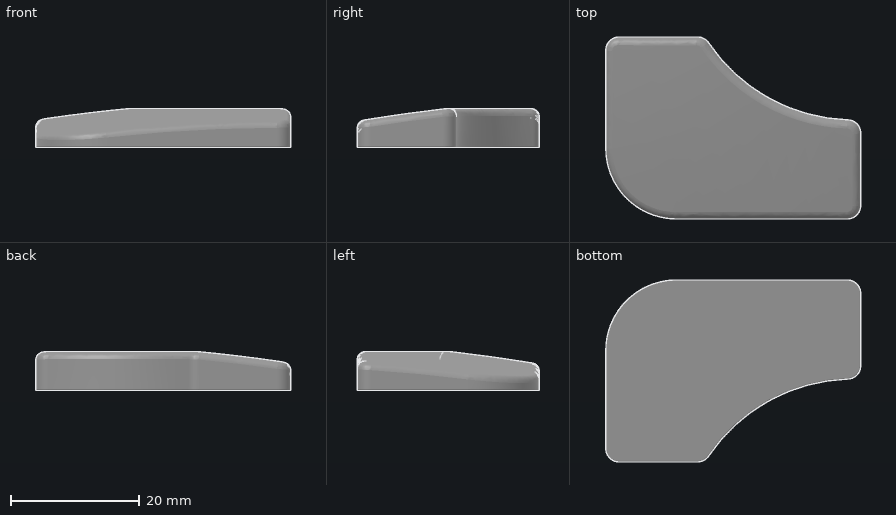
import cadquery as cq
import math

length = 39.8
depth = 28.4
large_corner_radius = 11.05
small_corner_radius = 4.25 / 2

cutout_radius = 27.15
cutout_axis_x = 38.6
cutout_axis_y = 42.63

height = 6.13
dome_radius = 254.72
top_edge_radius = 1.27
bottom_edge_radius = 0.2


def make_outline_block(block_height):
    """Straight-sided block with one large corner, a concave side and small corners."""
    top_cut_x = cutout_axis_x - math.sqrt(cutout_radius**2 - (cutout_axis_y - depth) ** 2)
    side_cut_y = cutout_axis_y - math.sqrt(cutout_radius**2 - (length - cutout_axis_x) ** 2)
    start_angle = math.atan2(side_cut_y - cutout_axis_y, length - cutout_axis_x)
    end_angle = math.atan2(depth - cutout_axis_y, top_cut_x - cutout_axis_x)
    mid_angle = (start_angle + end_angle) / 2
    arc_middle = (
        cutout_axis_x + cutout_radius * math.cos(mid_angle),
        cutout_axis_y + cutout_radius * math.sin(mid_angle),
    )
    block = (
        cq.Workplane("XY")
        .lineTo(length, 0)
        .lineTo(length, side_cut_y)
        .threePointArc(arc_middle, (top_cut_x, depth))
        .lineTo(0, depth)
        .close()
        .extrude(block_height)
    )
    large_corner = cq.selectors.NearestToPointSelector((0, 0, block_height / 2))
    block = block.edges(large_corner).fillet(large_corner_radius)
    for x, y in [(length, 0), (length, side_cut_y), (top_cut_x, depth), (0, depth)]:
        corner = cq.selectors.NearestToPointSelector((x, y, block_height / 2))
        block = block.edges(corner).fillet(small_corner_radius)
    return block


def make_dome():
    """Sphere on the cut-out axis that reaches full height at the crest of the rounded concave edge."""
    crest_radius = cutout_radius + top_edge_radius
    center_to_rounding = math.sqrt((dome_radius - top_edge_radius) ** 2 - crest_radius**2)
    dome_center_z = height - top_edge_radius - center_to_rounding
    return cq.Workplane("XY").sphere(dome_radius).translate((cutout_axis_x, cutout_axis_y, dome_center_z))


body = make_outline_block(2 * height).intersect(make_dome())
body = body.faces("%SPHERE").edges().fillet(top_edge_radius)
result = body.faces("<Z").edges().fillet(bottom_edge_radius)